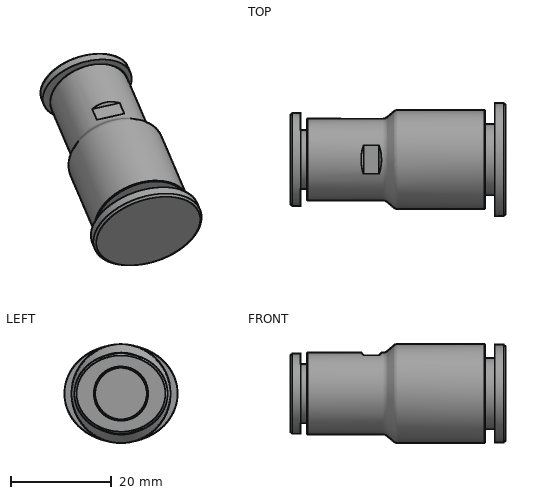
import cadquery as cq
import math

total_length = 42.8
small_collar_end = 2.1
body_start = 3.3
cone_start = 18.9
body_end = 38.7
large_collar_start = 40.55

small_collar_width = 18.5
small_collar_height = 16.0
small_neck_diameter = 11.8
small_body_diameter = 16.3

large_collar_width = 22.5
large_collar_height = 19.5
large_neck_diameter = 14.2
large_body_diameter = 19.7

cone_angle = 40.5
cone_blend_radius = 1.0
cone_rise = (large_body_diameter - small_body_diameter) / 2
cone_end = cone_start + cone_rise / math.tan(math.radians(cone_angle))

collar_chamfer = 0.45
body_chamfer = 0.15

bore_diameter = 10.2
bore_depth = 17.0
bore_chamfer = 0.3

notch_center = 16.1
notch_floor_length = 3.05
notch_floor_width = 5.7
notch_floor_height = math.sqrt((small_body_diameter / 2) ** 2 - (notch_floor_width / 2) ** 2)


def section_at(x):
    """YZ work plane at station x, with its normal along +X."""
    return cq.Workplane("YZ").workplane(offset=x)


def cylinder(start, end, diameter):
    return section_at(start).circle(diameter / 2).extrude(end - start)


def oval_collar(start, end, width, height, chamfered_face):
    """Elliptical release collar with its outer end chamfered."""
    collar = section_at(start).ellipse(width / 2, height / 2).extrude(end - start)
    return collar.faces(chamfered_face).chamfer(collar_chamfer)


def stepped_body():
    """Body of revolution: two cylinders joined by a cone with rounded transitions."""
    small_radius = small_body_diameter / 2
    large_radius = large_body_diameter / 2
    body = (
        cq.Workplane("XZ")
        .moveTo(body_start, 0)
        .lineTo(body_start, small_radius)
        .lineTo(cone_start, small_radius)
        .lineTo(cone_end, large_radius)
        .lineTo(body_end, large_radius)
        .lineTo(body_end, 0)
        .close()
        .revolve(360, (0, 0, 0), (1, 0, 0))
    )
    body = body.faces("<X or >X").chamfer(body_chamfer)
    cone_region = cq.selectors.BoxSelector(
        (cone_start, -large_radius, -large_radius),
        (cone_end, large_radius, large_radius),
    )
    cone_edges = body.faces("%CONE").faces(cone_region).edges("%CIRCLE")
    return cone_edges.fillet(cone_blend_radius)


def notch_cutter():
    """Trapezoidal prism running across Y, reaching above the small body."""
    rise = small_body_diameter / 2
    floor_half = notch_floor_length / 2
    return (
        cq.Workplane("XZ", origin=(notch_center, 0, notch_floor_height))
        .moveTo(-floor_half, 0)
        .lineTo(floor_half, 0)
        .lineTo(floor_half + rise, rise)
        .lineTo(-floor_half - rise, rise)
        .close()
        .extrude(notch_floor_width, both=True)
    )


def bore_cutter():
    """Blind bore from the small collar face, widened by a chamfer at its mouth."""
    bore = cylinder(0, bore_depth, bore_diameter)
    mouth = (
        section_at(0)
        .circle(bore_diameter / 2 + bore_chamfer)
        .workplane(offset=bore_chamfer)
        .circle(bore_diameter / 2)
        .loft()
    )
    return bore.union(mouth)


small_collar = oval_collar(0, small_collar_end, small_collar_width, small_collar_height, "<X")
small_neck = cylinder(small_collar_end, body_start, small_neck_diameter)
body = stepped_body().cut(notch_cutter())
large_neck = cylinder(body_end, large_collar_start, large_neck_diameter)
large_collar = oval_collar(
    large_collar_start, total_length, large_collar_width, large_collar_height, ">X"
)

outer_shape = body.union(small_neck).union(small_collar).union(large_neck).union(large_collar)
result = outer_shape.cut(bore_cutter())